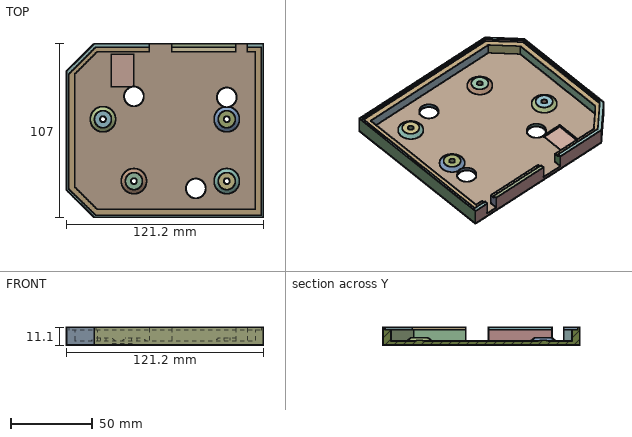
import cadquery as cq

INCH = 25.4

LENGTH = 121.25
WIDTH = 107.0
HEIGHT = 11.1
FLOOR_THICKNESS = 2.5
CORNER_CUT_X = 17.0
CORNER_CUT_Y = 16.9

WALL_THICKNESS = 5.0
CAVITY_CORNER_CUT = 13.9

LIP_THICKNESS = 1.4
BACK_LIP_THICKNESS = 2.25
LEDGE_DEPTH = 1.6
LEDGE_CUT_X = 16.6
LEDGE_FRONT_CUT_Y = 16.1
LEDGE_BACK_CUT_Y = 16.6

BACK_OPENINGS = [(51.0, 64.9), (104.1, 111.3)]

MOUNT_X = 41.55
MOUNT_Y = 22.35
LEFT_MOUNT_X = MOUNT_X - 0.75 * INCH
RIGHT_MOUNT_X = MOUNT_X + 2.25 * INCH
BACK_MOUNT_Y = MOUNT_Y + 1.5 * INCH
MOUNT_POINTS = [
    (MOUNT_X, MOUNT_Y),
    (RIGHT_MOUNT_X, MOUNT_Y),
    (LEFT_MOUNT_X, BACK_MOUNT_Y),
    (RIGHT_MOUNT_X, BACK_MOUNT_Y),
]
MOUNT_BASE_DIAMETER = 15.6
MOUNT_TOP_DIAMETER = 10.5
MOUNT_HEIGHT = 2.0
SCREW_HOLE_DIAMETER = 3.5

FLOOR_HOLE_DIAMETER = 12.0
FLOOR_HOLE_POINTS = [
    (MOUNT_X, 74.5),
    (RIGHT_MOUNT_X, 73.9),
    (RIGHT_MOUNT_X - 0.75 * INCH, 17.85),
]

POCKET_LENGTH = 14.0
POCKET_WIDTH = 20.0
POCKET_DEPTH = 1.5
POCKET_FRONT_Y = 80.45


def cut_corner_prism(margin, back_margin, cut_x, front_cut_y, back_cut_y, bottom, top):
    """Inset rectangle with both left corners cut off, raised from bottom to top."""
    left = margin
    right = LENGTH - margin
    front = margin
    back = WIDTH - back_margin
    outline = [
        (left + cut_x, front),
        (right, front),
        (right, back),
        (left + cut_x, back),
        (left, back - back_cut_y),
        (left, front + front_cut_y),
    ]
    return cq.Workplane("XY").workplane(offset=bottom).polyline(outline).close().extrude(top - bottom)


def tray_shell():
    body = cut_corner_prism(0, 0, CORNER_CUT_X, CORNER_CUT_Y, CORNER_CUT_Y, 0, HEIGHT)
    cavity = cut_corner_prism(
        WALL_THICKNESS, WALL_THICKNESS,
        CAVITY_CORNER_CUT, CAVITY_CORNER_CUT, CAVITY_CORNER_CUT,
        FLOOR_THICKNESS, HEIGHT,
    )
    ledge = cut_corner_prism(
        LIP_THICKNESS, BACK_LIP_THICKNESS,
        LEDGE_CUT_X, LEDGE_FRONT_CUT_Y, LEDGE_BACK_CUT_Y,
        HEIGHT - LEDGE_DEPTH, HEIGHT,
    )
    return body.cut(cavity).cut(ledge)


def back_opening(start, end):
    """Block that clears the back wall down to the floor."""
    block = cq.Workplane("XY").box(end - start, WALL_THICKNESS, HEIGHT - FLOOR_THICKNESS, centered=False)
    return block.translate((start, WIDTH - WALL_THICKNESS, FLOOR_THICKNESS))


def mount(x, y):
    """Conical standoff on the floor."""
    base_radius = MOUNT_BASE_DIAMETER / 2
    top_radius = MOUNT_TOP_DIAMETER / 2
    cone = cq.Solid.makeCone(base_radius, top_radius, MOUNT_HEIGHT)
    return cone.translate(cq.Vector(x, y, FLOOR_THICKNESS))


def through_holes(points, diameter):
    return cq.Workplane("XY").pushPoints(points).circle(diameter / 2).extrude(HEIGHT)


def floor_pocket():
    block = cq.Workplane("XY").box(POCKET_LENGTH, POCKET_WIDTH, POCKET_DEPTH, centered=False)
    return block.translate((MOUNT_X - POCKET_LENGTH, POCKET_FRONT_Y, FLOOR_THICKNESS - POCKET_DEPTH))


result = tray_shell()
for opening_start, opening_end in BACK_OPENINGS:
    result = result.cut(back_opening(opening_start, opening_end))
for mount_x, mount_y in MOUNT_POINTS:
    result = result.union(cq.Workplane(mount(mount_x, mount_y)))
result = result.cut(through_holes(MOUNT_POINTS, SCREW_HOLE_DIAMETER))
result = result.cut(through_holes(FLOOR_HOLE_POINTS, FLOOR_HOLE_DIAMETER))
result = result.cut(floor_pocket())